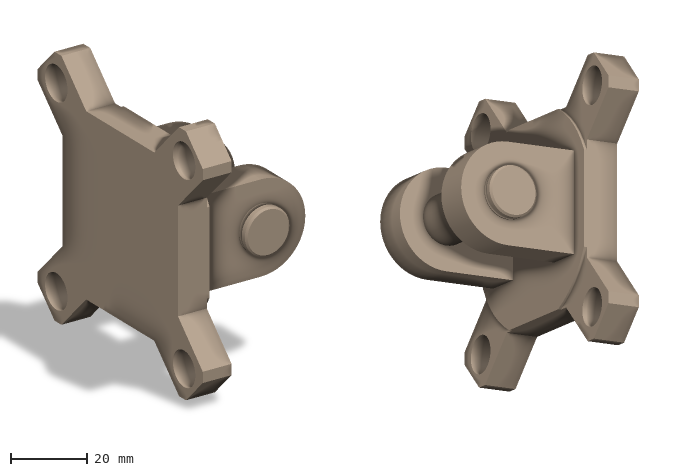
import cadquery as cq

plate_half = 38.75
body_half = 27.1
arm_thickness = 9.15
body_thickness = 10.0
pad_radius = 30.15
tip_chamfer = 7.9
arm_half_offset = 11.15
hole_spacing = 60.0
hole_diameter = 10.55

ear_radius = 14.0
ear_inner_x = 11.15
ear_thickness = 10.6
pin_axis_y = 30.0

pin_radius = 7.05
pin_half_length = 25.1
pin_chamfer = 0.55
groove_radius = 6.0
groove_inner_x = 22.1
groove_width = 1.0


def extrude_y(sketch, depth):
    """Extrude an XZ sketch toward +Y."""
    return sketch.extrude(-depth)


def plate_outline():
    """Square body with four diagonal arms, each with a chamfered tip."""
    tip = plate_half - tip_chamfer
    arm_side = plate_half - arm_half_offset
    arm_root = body_half - arm_half_offset
    quarter = [
        (body_half, arm_root),
        (plate_half, arm_side),
        (plate_half, tip),
        (tip, plate_half),
        (arm_side, plate_half),
        (arm_root, body_half),
    ]
    points = []
    for _ in range(4):
        points.extend(quarter)
        quarter = [(-z, x) for x, z in quarter]
    return cq.Workplane("XZ").polyline(points).close()


def make_plate():
    """Armed plate with its raised centre: a square clipped by a circle."""
    plate = extrude_y(plate_outline(), arm_thickness)
    square = extrude_y(cq.Workplane("XZ").rect(2 * body_half, 2 * body_half), body_thickness)
    disc = extrude_y(cq.Workplane("XZ").circle(pad_radius), body_thickness)
    plate = plate.union(square.intersect(disc))
    holes = cq.Workplane("XZ").rect(hole_spacing, hole_spacing, forConstruction=True)
    holes = extrude_y(holes.vertices().circle(hole_diameter / 2), body_thickness)
    return plate.cut(holes)


def make_ear(start_x):
    """Round-ended ear standing on the plate, spanning +X from start_x."""
    return (
        cq.Workplane("YZ", origin=(start_x, 0, 0))
        .moveTo(arm_thickness, -ear_radius)
        .lineTo(pin_axis_y, -ear_radius)
        .threePointArc((pin_axis_y + ear_radius, 0), (pin_axis_y, ear_radius))
        .lineTo(arm_thickness, ear_radius)
        .close()
        .extrude(ear_thickness)
    )


def pin_cylinder(radius, start_x, length):
    """Cylinder on the pin axis, running toward +X from start_x."""
    return cq.Workplane("YZ", origin=(start_x, pin_axis_y, 0)).circle(radius).extrude(length)


def make_bracket():
    """Plate and two ears in one piece, bored for the pin."""
    bracket = make_plate()
    for start_x in (-ear_inner_x - ear_thickness, ear_inner_x):
        bracket = bracket.union(make_ear(start_x))
    return bracket.cut(pin_cylinder(pin_radius, -pin_half_length, 2 * pin_half_length))


def make_pin():
    """Chamfered pin with a retaining-ring groove outside each ear."""
    pin = pin_cylinder(pin_radius, -pin_half_length, 2 * pin_half_length)
    pin = pin.faces("<X or >X").chamfer(pin_chamfer)
    for start_x in (-groove_inner_x - groove_width, groove_inner_x):
        ring = pin_cylinder(pin_radius, start_x, groove_width)
        ring = ring.cut(pin_cylinder(groove_radius, start_x, groove_width))
        pin = pin.cut(ring)
    return pin


bracket = make_bracket()
pin = make_pin()
result = cq.Compound.makeCompound([bracket.solids().val(), pin.solids().val()])